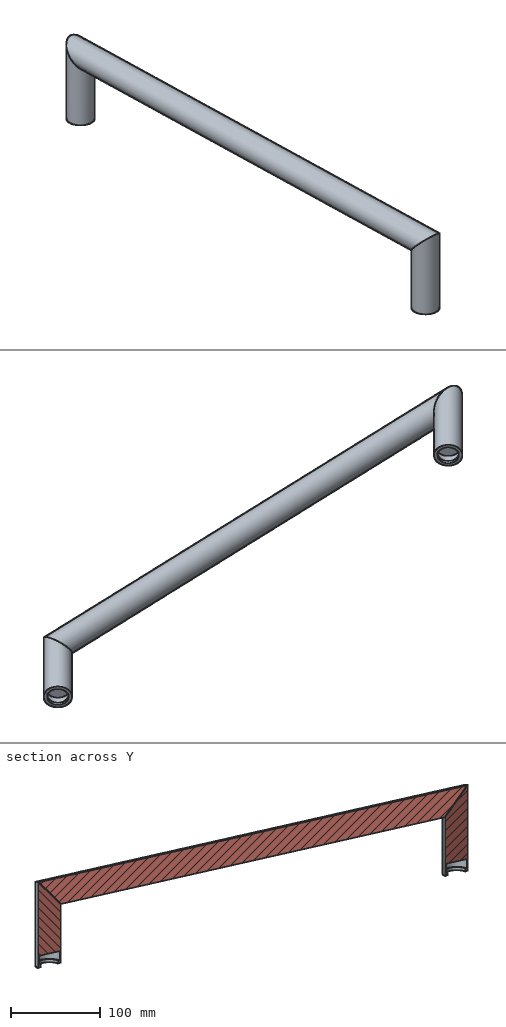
import cadquery as cq

LENGTH = 600.0
HEIGHT = 100.0
DIAMETER = 32.0

MOUTH_DIAMETER = 24.0
MOUTH_DEPTH = 3.5
CHAMBER_DIAMETER = 27.5
SOCKET_DEPTH = 14.0

RADIUS = DIAMETER / 2
HALF_LENGTH = LENGTH / 2
LEG_CENTER = HALF_LENGTH - RADIUS
INNER_HALF_LENGTH = HALF_LENGTH - DIAMETER
BAR_BOTTOM = HEIGHT - DIAMETER
BAR_CENTER = HEIGHT - RADIUS


def make_grip():
    """Round horizontal bar, mitred at 45 degrees at both ends."""
    bar = (
        cq.Workplane("YZ", origin=(-HALF_LENGTH, 0, 0))
        .center(0, BAR_CENTER)
        .circle(RADIUS)
        .extrude(LENGTH)
    )
    mitred_outline = (
        cq.Workplane("XZ")
        .polyline([
            (-HALF_LENGTH, HEIGHT),
            (HALF_LENGTH, HEIGHT),
            (INNER_HALF_LENGTH, BAR_BOTTOM),
            (-INNER_HALF_LENGTH, BAR_BOTTOM),
        ])
        .close()
        .extrude(RADIUS, both=True)
    )
    return bar.intersect(mitred_outline)


def make_leg(side):
    """Round upright leg at the -X (side = -1) or +X (side = 1) end, mitred to meet the grip."""
    post = cq.Workplane("XY").center(side * LEG_CENTER, 0).circle(RADIUS).extrude(HEIGHT)
    mitred_outline = (
        cq.Workplane("XZ")
        .polyline([
            (side * HALF_LENGTH, 0),
            (side * HALF_LENGTH, HEIGHT),
            (side * INNER_HALF_LENGTH, BAR_BOTTOM),
            (side * INNER_HALF_LENGTH, 0),
        ])
        .close()
        .extrude(RADIUS, both=True)
    )
    return post.intersect(mitred_outline).cut(make_socket(side))


def make_socket(side):
    """Hollow of the socket, on the axis of the leg at the given side."""
    mouth = cq.Workplane("XY").center(side * LEG_CENTER, 0).circle(MOUTH_DIAMETER / 2).extrude(MOUTH_DEPTH)
    chamber = (
        cq.Workplane("XY", origin=(side * LEG_CENTER, 0, MOUTH_DEPTH))
        .circle(CHAMBER_DIAMETER / 2)
        .extrude(SOCKET_DEPTH - MOUTH_DEPTH)
    )
    return mouth.union(chamber)


grip = make_grip()
legs = [make_leg(side) for side in (-1, 1)]

result = cq.Compound.makeCompound([grip.val(), *[leg.val() for leg in legs]])